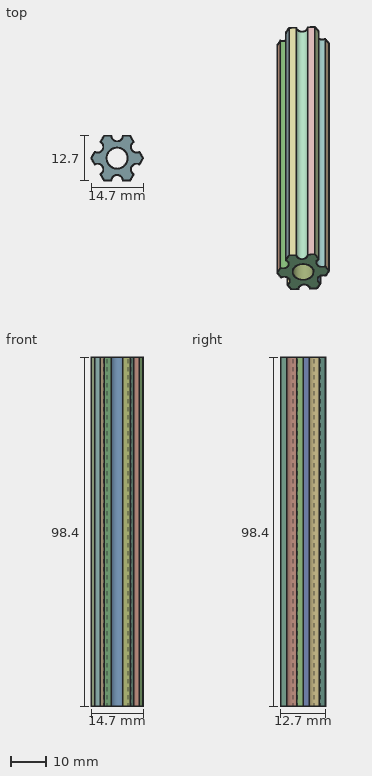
import cadquery as cq
import math

across_flats = 12.7
length = 98.425
bore_diameter = 5.87
groove_diameter = 3.175

side_count = 6
flat_distance = across_flats / 2
across_corners = across_flats / math.cos(math.pi / side_count)


def hex_bar():
    """Hexagonal bar along Z with corners on the X axis and flats facing +Y and -Y."""
    return cq.Workplane("XY").polygon(side_count, across_corners).extrude(length)


def bore():
    """Round through hole on the bar axis."""
    return cq.Workplane("XY").circle(bore_diameter / 2).extrude(length)


def flat_grooves():
    """Half-round full-length grooves, one centred on each flat."""
    return (
        cq.Workplane("XY")
        .polarArray(flat_distance, 90, 360, side_count)
        .circle(groove_diameter / 2)
        .extrude(length)
    )


result = hex_bar().cut(bore()).cut(flat_grooves())